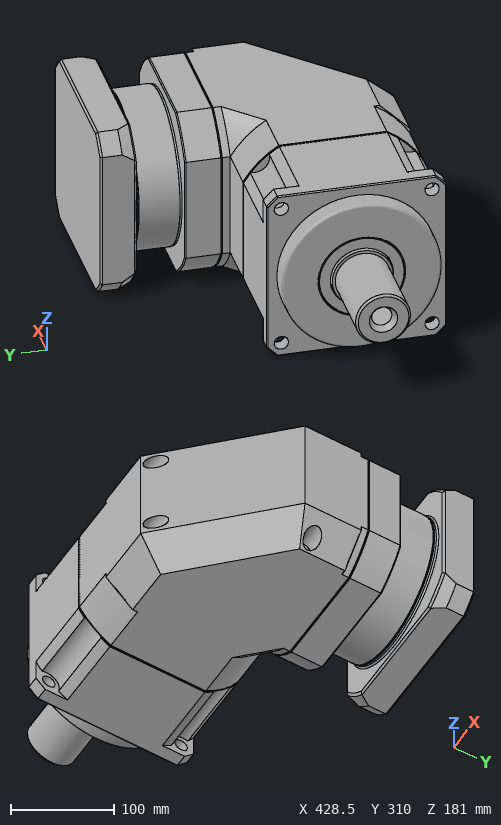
import cadquery as cq
import math

overall_length = 428.5
half_width = 90.0
input_axis_x = overall_length - half_width
elbow_start_x = input_axis_x - half_width
through_all = 3 * overall_length
edge_margin = 4.3

pilot_face_x = 85.0
pilot_diameter = 160.0
pilot_rounding = 3.0
plate_face_x = 105.0
plate_back_x = 119.5
plate_corner_diameter = 240.0
housing_corner_diameter = 210.0
output_joint_x = 198.5
edge_chamfer = 1.3
bolt_offset = 75.5
bolt_hole_diameter = 14.0
channel_offset = 78.0
channel_radius = 14.5

shaft_diameter = 55.0
shaft_chamfer = 2.0
shaft_collar_diameter = 61.0
shaft_collar_x = 82.0
seal_bore_diameter = 63.0
seal_bore_floor_x = plate_face_x
seal_diameter = 85.0
seal_groove_width = 1.3
seal_groove_depth = 2.0
center_cone_diameter = 28.3
center_cone_half_angle = 30.0
thread_diameter = 20.0
thread_depth = 42.0
thread_core_diameter = 17.5
thread_core_depth = 50.0
drill_half_angle = 59.0

elbow_chamfer = 30.5
slope_setback = 115.5
elbow_hole_diameter = 18.0
elbow_hole_far = 79.3
elbow_hole_near = 46.3
elbow_hole_depth = 17.0

input_joint_y = 98.5
input_housing_end_y = 135.5
input_neck_diameter = 160.0
neck_relief_height = 2.0
neck_relief_depth = 0.5
neck_joint_y = 179.0
neck_root_chamfer = 1.5
motor_plate_start_y = 183.5
motor_plate_cone_y = 198.0
motor_plate_end_y = 220.0
motor_plate_corner_diameter = 230.0
motor_plate_taper_diameter = 218.5
motor_plate_chamfer = 2.0

joint_width = 1.3
joint_depth = 1.0

button_x = 375.5
button_y = 197.0
button_base_diameter = 25.5
button_top_diameter = 14.5
button_height = 1.0


def x_cylinder(diameter, start_x, end_x, y=0.0, z=0.0):
    """Cylinder along X between two X positions."""
    return (
        cq.Workplane("YZ", origin=(start_x, y, z))
        .circle(diameter / 2)
        .extrude(end_x - start_x)
    )


def input_cylinder(diameter, start_y, end_y):
    """Cylinder on the input axis between two Y positions."""
    return (
        cq.Workplane("XZ", origin=(input_axis_x, start_y, 0))
        .circle(diameter / 2)
        .extrude(start_y - end_y)
    )


def x_square(start_x, end_x, half=half_width):
    """Square block centred on the output axis."""
    length = end_x - start_x
    return cq.Workplane("XY").box(length, 2 * half, 2 * half).translate((start_x + length / 2, 0, 0))


def input_square(start_y, end_y, half=half_width):
    """Square block centred on the input axis."""
    length = end_y - start_y
    return (
        cq.Workplane("XY")
        .box(2 * half, length, 2 * half)
        .translate((input_axis_x, start_y + length / 2, 0))
    )


def make_output_housing():
    """Pilot, mounting plate and the output arm with its rounded corners."""
    pilot = x_cylinder(pilot_diameter, pilot_face_x, plate_face_x).faces("<X").edges().fillet(pilot_rounding)
    plate = x_square(plate_face_x, plate_back_x).intersect(
        x_cylinder(plate_corner_diameter, plate_face_x, plate_back_x)
    )
    plate = plate.faces("<X").chamfer(edge_chamfer)
    arm = x_square(plate_back_x, elbow_start_x).intersect(
        x_cylinder(housing_corner_diameter, plate_back_x, elbow_start_x)
    )
    housing = plate.union(arm).union(pilot)
    for y_side in (-1, 1):
        for z_side in (-1, 1):
            housing = housing.cut(
                x_cylinder(2 * channel_radius, plate_back_x, output_joint_x,
                           y_side * channel_offset, z_side * channel_offset)
            )
            housing = housing.cut(
                x_cylinder(bolt_hole_diameter, plate_face_x, plate_back_x,
                           y_side * bolt_offset, z_side * bolt_offset)
            )
    return housing


def make_inner_corner_cut():
    """Carries the rounded corners of both arms into each other across the inner corner."""
    corner_radius = housing_corner_diameter / 2
    flat_half = math.sqrt(corner_radius**2 - half_width**2)
    leg = half_width - flat_half
    wedge = (
        cq.Workplane("XY", origin=(0, 0, -half_width))
        .moveTo(elbow_start_x, half_width)
        .lineTo(elbow_start_x, half_width - leg)
        .lineTo(elbow_start_x + leg, half_width)
        .close()
        .extrude(2 * half_width)
    )
    diagonal = cq.Plane(origin=(elbow_start_x, 0, 0), xDir=(1, -1, 0), normal=(1, 1, 0))
    core = (
        cq.Workplane(diagonal)
        .ellipse(corner_radius / math.sqrt(2), corner_radius)
        .extrude(overall_length, both=True)
    )
    return wedge.cut(core)


def make_elbow():
    """Solid corner block with a 45 degree outer cut, bevelled rims and screw holes."""
    slope_start_x = overall_length - slope_setback
    slope_end_y = slope_setback - half_width
    elbow = (
        cq.Workplane("XY", origin=(0, 0, -half_width))
        .moveTo(elbow_start_x, -half_width)
        .lineTo(slope_start_x, -half_width)
        .lineTo(overall_length, slope_end_y)
        .lineTo(overall_length, half_width)
        .lineTo(elbow_start_x, half_width)
        .close()
        .extrude(2 * half_width)
    )
    outer_rim = cq.selectors.BoxSelector(
        (elbow_start_x + edge_margin, -through_all, -through_all),
        (through_all, half_width - edge_margin, through_all),
    )
    elbow = elbow.faces("|Z").edges(outer_rim).chamfer(elbow_chamfer)
    elbow = elbow.cut(make_inner_corner_cut())

    side_hole_x = slope_start_x + half_width - elbow_hole_far
    rim_hole_x = overall_length - elbow_chamfer + half_width - elbow_hole_far
    for z_side in (-1, 1):
        side_hole = x_cylinder(elbow_hole_diameter, side_hole_x - elbow_hole_depth, overall_length,
                               -elbow_hole_far, z_side * elbow_hole_near)
        rim_hole = x_cylinder(elbow_hole_diameter, rim_hole_x - elbow_hole_depth, overall_length,
                              elbow_hole_near, z_side * elbow_hole_far)
        elbow = elbow.cut(side_hole).cut(rim_hole)
    return elbow


def make_input_arm():
    """Input arm with rounded corners and the round neck that carries the motor plate."""
    arm = input_square(half_width, input_housing_end_y).intersect(
        input_cylinder(housing_corner_diameter, half_width, input_housing_end_y)
    )
    arm = arm.faces(">Y").chamfer(edge_chamfer)
    relief_end_y = input_housing_end_y + neck_relief_height
    relief = input_cylinder(input_neck_diameter - 2 * neck_relief_depth, input_housing_end_y, relief_end_y)
    neck = input_cylinder(input_neck_diameter, relief_end_y, motor_plate_start_y)
    neck_radius = input_neck_diameter / 2
    root = cq.Workplane(
        cq.Solid.makeCone(
            neck_radius + neck_root_chamfer, neck_radius, neck_root_chamfer,
            cq.Vector(input_axis_x, motor_plate_start_y, 0), cq.Vector(0, -1, 0),
        )
    )
    return arm.union(relief).union(neck).union(root)


def make_motor_plate():
    """Square plate with rounded corners that taper towards the neck."""
    corner_radius = motor_plate_corner_diameter / 2
    small_radius = motor_plate_taper_diameter / 2
    envelope = (
        cq.Workplane("XY")
        .moveTo(0, motor_plate_start_y)
        .lineTo(small_radius, motor_plate_start_y)
        .lineTo(corner_radius, motor_plate_cone_y)
        .lineTo(corner_radius, motor_plate_end_y)
        .lineTo(0, motor_plate_end_y)
        .close()
        .revolve(360, (0, 0, 0), (0, 1, 0))
        .translate((input_axis_x, 0, 0))
    )
    plate = input_square(motor_plate_start_y, motor_plate_end_y).intersect(envelope)
    plate = plate.faces("<Y").chamfer(motor_plate_chamfer)
    plate = plate.faces(">Y").chamfer(motor_plate_chamfer)
    button = cq.Workplane(
        cq.Solid.makeCone(
            button_base_diameter / 2, button_top_diameter / 2, button_height,
            cq.Vector(button_x, button_y, half_width),
        )
    )
    return plate.union(button)


def make_output_joint():
    """Shallow line around the output arm."""
    start_x = output_joint_x - joint_width / 2
    end_x = output_joint_x + joint_width / 2
    kept = x_square(start_x, end_x, half_width - joint_depth).intersect(
        x_cylinder(housing_corner_diameter - 2 * joint_depth, start_x, end_x)
    )
    return x_square(start_x, end_x, half_width + edge_margin).cut(kept)


def make_input_joint():
    """Shallow line around the input arm."""
    start_y = input_joint_y - joint_width / 2
    end_y = input_joint_y + joint_width / 2
    kept = input_square(start_y, end_y, half_width - joint_depth).intersect(
        input_cylinder(housing_corner_diameter - 2 * joint_depth, start_y, end_y)
    )
    return input_square(start_y, end_y, half_width + edge_margin).cut(kept)


def make_neck_joint():
    """Shallow line around the neck below the motor plate."""
    start_y = neck_joint_y - joint_width / 2
    end_y = neck_joint_y + joint_width / 2
    ring = input_cylinder(input_neck_diameter + edge_margin, start_y, end_y)
    return ring.cut(input_cylinder(input_neck_diameter - 2 * joint_depth, start_y, end_y))


def make_housing():
    """Complete gearbox housing with the seal bore for the shaft."""
    housing = make_output_housing().union(make_elbow())
    housing = housing.union(make_input_arm()).union(make_motor_plate())
    housing = housing.cut(make_output_joint()).cut(make_input_joint()).cut(make_neck_joint())

    groove_floor_x = pilot_face_x + seal_groove_depth
    seal_groove = x_cylinder(
        seal_diameter + 2 * seal_groove_width, pilot_face_x, groove_floor_x
    ).cut(x_cylinder(seal_diameter, pilot_face_x, groove_floor_x))
    seal_bore = x_cylinder(seal_bore_diameter, pilot_face_x, seal_bore_floor_x)
    return housing.cut(seal_groove).cut(seal_bore)


def make_center_hole():
    """Stepped centre hole: countersink, thread, core drill and drill point."""
    cone_radius = center_cone_diameter / 2
    thread_radius = thread_diameter / 2
    core_radius = thread_core_diameter / 2
    cone_depth = (cone_radius - thread_radius) / math.tan(math.radians(center_cone_half_angle))
    point_depth = thread_core_depth + core_radius / math.tan(math.radians(drill_half_angle))
    return (
        cq.Workplane("XY")
        .lineTo(0, cone_radius)
        .lineTo(cone_depth, thread_radius)
        .lineTo(thread_depth, thread_radius)
        .lineTo(thread_depth, core_radius)
        .lineTo(thread_core_depth, core_radius)
        .lineTo(point_depth, 0)
        .close()
        .revolve(360, (0, 0, 0), (1, 0, 0))
    )


def make_shaft():
    """Output shaft with a collar that stands on the floor of the seal bore."""
    journal = x_cylinder(shaft_diameter, 0, shaft_collar_x).faces("<X").chamfer(shaft_chamfer)
    collar = x_cylinder(shaft_collar_diameter, shaft_collar_x, seal_bore_floor_x)
    return journal.union(collar).cut(make_center_hole())


housing = make_housing()
shaft = make_shaft()

result = cq.Compound.makeCompound([housing.val(), shaft.val()])